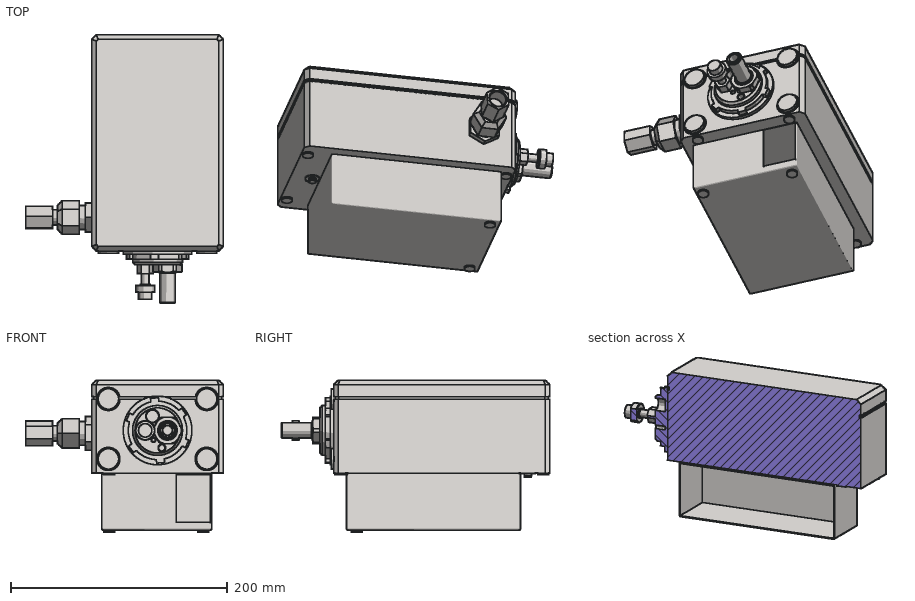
import cadquery as cq
import math


HEX_SIDES = 6
CHAMFER_ANGLE = 45.0
OVERALL_WIDTH = 183.0

ENCLOSURE_WIDTH = 121.8
ENCLOSURE_LENGTH = 200.0
ENCLOSURE_HEIGHT = 86.0
ENCLOSURE_CHAMFER = 4.2
LID_SEAM_HEIGHT = 69.5
LID_SEAM_WIDTH = 2.5
LID_SEAM_DEPTH = 1.5

PLUG_RADIUS = 9.5
PLUG_THICKNESS = 2.2
PLUG_ROOT = 2.5
PLUG_SEAT_RADIUS = 10.7
PLUG_SEAT_DEPTH = 0.7
PLUG_X = 45.5
PLUG_HEIGHTS = (13.2, 68.5)

FOOT_RADIUS = 5.0
FOOT_THICKNESS = 1.5
ENCLOSURE_FOOT_X = 44.7
ENCLOSURE_FOOT_INSET = 6.2

KNOB_Y = 179.7
KNOB_WASHER_RADIUS = 6.7
KNOB_WASHER_THICKNESS = 0.7
KNOB_RADIUS = 3.5
KNOB_HEIGHT = 2.2
KNOB_TIP_RADIUS = 3.2
KNOB_TIP_HEIGHT = 3.7

BOX_WIDTH = 102.0
BOX_LENGTH = 161.0
BOX_HEIGHT = 53.0
BOX_CENTRE_X = -0.7
BOX_FRONT_Y = 12.0
BOX_CORNER_FILLET = 0.7
BOX_RIM_FILLET = 2.0
BOX_WALL = 1.5
BOX_FOOT_CENTRE_X = -1.2
BOX_FOOT_X = 43.5
BOX_FOOT_INSET = 9.5
WINDOW_WIDTH = 31.3
WINDOW_HEIGHT = 44.0

FITTING_Y = 31.0
FITTING_Z = 36.8
FITTING_HEX_FLATS = 27.0
SHOULDER_LENGTH = 6.0
SLEEVE_RADIUS = 11.2
SLEEVE_LENGTH = 5.5
NUT_LENGTH = 16.0
NUT_TURN = 30.0
NUT_TAPER_LENGTH = 4.5
NUT_TIP_FLATS = 19.0
STEM_RADIUS = 7.2
STEM_LENGTH = 4.2
SOCKET_END = OVERALL_WIDTH - ENCLOSURE_WIDTH
SOCKET_FLATS = 20.1
SOCKET_TURN = 4.5
SOCKET_BORE_RADIUS = 7.7
SOCKET_BORE_DEPTH = 15.0
SOCKET_BORE_CHAMFER = 0.7

CONNECTOR_Z = 39.5
FLANGE_RADIUS = 31.8
FLANGE_THICKNESS = 3.0
RING_RADIUS = 27.0
RING_THICKNESS = 4.5
TAB_COUNT = 6
TAB_RADIUS = 30.0
TAB_WIDTH = 7.5
FIRST_TAB_ANGLE = 35.5
HUB_RADIUS = 23.0
HUB_THICKNESS = 5.2
HUB_CHAMFER = 2.2
HUB_FACE = FLANGE_THICKNESS + RING_THICKNESS + HUB_THICKNESS
HUB_HOLES = ((-4.7, 13.2, 5.7), (4.0, -16.2, 3.0), (-3.7, -8.7, 1.7))
HUB_HOLE_DEPTH = 10.0
HUB_HOLE_CHAMFER = 0.5

POST_X = -11.5
POST_HEX_FLATS = 13.0
POST_HEX_LENGTH = 8.2
POST_STEM_RADIUS = 3.7
POST_STEM_LENGTH = 9.7
POST_WASHER_RADIUS = 4.7
POST_WASHER_LENGTH = 1.0
POST_COLLAR_RADIUS = 9.0
POST_COLLAR_LENGTH = 6.5
POST_COLLAR_CHAMFER = 0.5
POST_TIP_RADIUS = 6.2
POST_TIP_LENGTH = 6.7

PIPE_X = 9.2
PIPE_HEX_FLATS = 24.5
PIPE_HEX_LENGTH = 6.7
PIPE_HEX_CORNER_RADIUS = 13.5
PIPE_HEX_CHAMFER = 0.7
PIPE_WASHER_RADIUS = 9.0
PIPE_WASHER_THICKNESS = 0.2
PIPE_CONE_RADIUS = 8.0
PIPE_RADIUS = 7.2
PIPE_REACH = 48.5
PIPE_CHAMFER = 1.0
PIPE_BORE_RADIUS = 4.5
PIPE_BORE_DEPTH = 15.0


def corner_diameter(flats):
    """Across-corners size of a hexagon with the given across-flats size."""
    return flats / math.cos(math.pi / HEX_SIDES)


def front_plane(x, z, distance):
    """Plane facing -Y, at the given distance in front of the enclosure."""
    return cq.Workplane(cq.Plane(origin=(x, -distance, z), xDir=(1, 0, 0), normal=(0, -1, 0)))


def side_plane(distance):
    """Plane facing -X on the fitting axis, at the given distance from the enclosure; local x is +Z."""
    origin = (-ENCLOSURE_WIDTH / 2 - distance, FITTING_Y, FITTING_Z)
    return cq.Workplane(cq.Plane(origin=origin, xDir=(0, 0, 1), normal=(-1, 0, 0)))


def feet(positions, top):
    """Discs hanging down from the given height."""
    base = cq.Workplane(origin=(0, 0, top))
    return base.pushPoints(positions).circle(FOOT_RADIUS).extrude(-FOOT_THICKNESS)


def chamfered_block(width, length, height, edge_chamfer):
    """Block standing on z = 0 with its front at y = 0 and its vertical edges chamfered."""
    block = cq.Workplane().box(width, length, height, centered=(True, False, False))
    return block.edges("|Z").chamfer(edge_chamfer)


def make_enclosure():
    """Block with a lid seam around it, front plugs, feet and a knob underneath."""
    body = chamfered_block(ENCLOSURE_WIDTH, ENCLOSURE_LENGTH, ENCLOSURE_HEIGHT, ENCLOSURE_CHAMFER)
    body = body.faces(">Z").edges().chamfer(ENCLOSURE_CHAMFER)

    outline = chamfered_block(ENCLOSURE_WIDTH, ENCLOSURE_LENGTH, LID_SEAM_WIDTH, ENCLOSURE_CHAMFER)
    rim = outline.faces("<Z").wires().toPending().offset2D(-LID_SEAM_DEPTH)
    core = rim.extrude(LID_SEAM_WIDTH, combine=False)
    seam = outline.cut(core).translate((0, 0, LID_SEAM_HEIGHT - LID_SEAM_WIDTH / 2))
    body = body.cut(seam)

    plug_places = [(x, z) for x in (-PLUG_X, PLUG_X) for z in PLUG_HEIGHTS]
    seats = front_plane(0, 0, 0).pushPoints(plug_places).circle(PLUG_SEAT_RADIUS).extrude(-PLUG_SEAT_DEPTH)
    plug_base = front_plane(0, 0, -PLUG_ROOT).pushPoints(plug_places)
    plugs = plug_base.circle(PLUG_RADIUS).extrude(PLUG_ROOT + PLUG_THICKNESS)
    body = body.cut(seats).union(plugs)

    foot_rows = (ENCLOSURE_FOOT_INSET, ENCLOSURE_LENGTH - ENCLOSURE_FOOT_INSET)
    foot_places = [(x, y) for x in (-ENCLOSURE_FOOT_X, ENCLOSURE_FOOT_X) for y in foot_rows]
    body = body.union(feet(foot_places, 0))

    knob_base = cq.Workplane().center(0, KNOB_Y)
    body = body.union(knob_base.circle(KNOB_WASHER_RADIUS).extrude(-KNOB_WASHER_THICKNESS))
    body = body.union(knob_base.circle(KNOB_RADIUS).extrude(-KNOB_HEIGHT))
    return body.union(knob_base.circle(KNOB_TIP_RADIUS).extrude(-KNOB_TIP_HEIGHT))


def make_lower_box():
    """Closed sheet-metal box with a window in its front wall."""
    box_centre = (BOX_CENTRE_X, BOX_FRONT_Y + BOX_LENGTH / 2, -BOX_HEIGHT / 2)
    body = cq.Workplane().box(BOX_WIDTH, BOX_LENGTH, BOX_HEIGHT)
    body = body.edges("|Z").fillet(BOX_CORNER_FILLET)
    body = body.faces("<Z or >Z").edges().fillet(BOX_RIM_FILLET)
    walls = 2 * BOX_WALL
    cavity = cq.Workplane().box(BOX_WIDTH - walls, BOX_LENGTH - walls, BOX_HEIGHT - walls)
    body = body.cut(cavity).translate(box_centre)

    window_right = BOX_CENTRE_X + BOX_WIDTH / 2 - BOX_WALL
    window = cq.Workplane().box(WINDOW_WIDTH, BOX_WALL, WINDOW_HEIGHT, centered=False)
    body = body.cut(window.translate((window_right - WINDOW_WIDTH, BOX_FRONT_Y, -BOX_WALL - WINDOW_HEIGHT)))

    foot_y = BOX_FRONT_Y + BOX_FOOT_INSET
    foot_places = [(BOX_FOOT_CENTRE_X + side * BOX_FOOT_X, foot_y) for side in (-1, 1)]
    return body.union(feet(foot_places, -BOX_HEIGHT))


def make_side_fitting():
    """Hexagonal compression fitting ending in a bored hexagonal socket."""
    reach = 0
    body = side_plane(reach).polygon(HEX_SIDES, corner_diameter(FITTING_HEX_FLATS)).extrude(SHOULDER_LENGTH)
    reach += SHOULDER_LENGTH
    body = body.union(side_plane(reach).circle(SLEEVE_RADIUS).extrude(SLEEVE_LENGTH))
    reach += SLEEVE_LENGTH

    nut_base = side_plane(reach).transformed(rotate=(0, 0, NUT_TURN))
    body = body.union(nut_base.polygon(HEX_SIDES, corner_diameter(FITTING_HEX_FLATS)).extrude(NUT_LENGTH))
    reach += NUT_LENGTH
    taper = (
        side_plane(reach)
        .transformed(rotate=(0, 0, NUT_TURN))
        .polygon(HEX_SIDES, corner_diameter(FITTING_HEX_FLATS))
        .workplane(offset=NUT_TAPER_LENGTH)
        .polygon(HEX_SIDES, corner_diameter(NUT_TIP_FLATS))
        .loft(ruled=True)
    )
    body = body.union(taper)
    reach += NUT_TAPER_LENGTH
    body = body.union(side_plane(reach).circle(STEM_RADIUS).extrude(STEM_LENGTH))
    reach += STEM_LENGTH

    socket_length = SOCKET_END - reach
    socket_base = side_plane(reach).transformed(rotate=(0, 0, SOCKET_TURN))
    body = body.union(socket_base.polygon(HEX_SIDES, corner_diameter(SOCKET_FLATS)).extrude(socket_length))
    bore = side_plane(SOCKET_END).circle(SOCKET_BORE_RADIUS).extrude(-SOCKET_BORE_DEPTH)
    body = body.cut(bore)
    mouth_radius = SOCKET_BORE_RADIUS + SOCKET_BORE_CHAMFER
    mouth = side_plane(SOCKET_END).circle(mouth_radius).extrude(-SOCKET_BORE_CHAMFER, taper=CHAMFER_ANGLE)
    return body.cut(mouth)


def make_flange_and_hub():
    """Round flange, tabbed ring and chamfered hub with blind holes."""
    body = front_plane(0, CONNECTOR_Z, 0).circle(FLANGE_RADIUS).extrude(FLANGE_THICKNESS)
    ring_base = front_plane(0, CONNECTOR_Z, FLANGE_THICKNESS)
    ring = ring_base.circle(RING_RADIUS).extrude(RING_THICKNESS)
    for index in range(TAB_COUNT):
        turn = FIRST_TAB_ANGLE + index * 360 / TAB_COUNT
        tab = (
            ring_base.transformed(rotate=(0, 0, turn))
            .center(TAB_RADIUS / 2, 0)
            .rect(TAB_RADIUS, TAB_WIDTH)
            .extrude(RING_THICKNESS)
        )
        ring = ring.union(tab)
    body = body.union(ring)
    hub_base = front_plane(0, CONNECTOR_Z, FLANGE_THICKNESS + RING_THICKNESS)
    hub = hub_base.circle(HUB_RADIUS).extrude(HUB_THICKNESS)
    body = body.union(hub.faces("<Y").edges().chamfer(HUB_CHAMFER))
    for x, z, radius in HUB_HOLES:
        mouth = front_plane(x, CONNECTOR_Z + z, HUB_FACE)
        body = body.cut(mouth.circle(radius).extrude(-HUB_HOLE_DEPTH))
        body = body.cut(mouth.circle(radius + HUB_HOLE_CHAMFER).extrude(-HUB_HOLE_CHAMFER, taper=CHAMFER_ANGLE))
    return body


def make_post():
    """Stepped round post on a small hexagon."""
    reach = HUB_FACE
    hex_base = front_plane(POST_X, CONNECTOR_Z, reach)
    post = hex_base.polygon(HEX_SIDES, corner_diameter(POST_HEX_FLATS)).extrude(POST_HEX_LENGTH)
    reach += POST_HEX_LENGTH
    steps = (
        (POST_STEM_RADIUS, POST_STEM_LENGTH, 0),
        (POST_WASHER_RADIUS, POST_WASHER_LENGTH, 0),
        (POST_COLLAR_RADIUS, POST_COLLAR_LENGTH, POST_COLLAR_CHAMFER),
        (POST_TIP_RADIUS, POST_TIP_LENGTH, 0),
    )
    for radius, length, chamfer in steps:
        disc = front_plane(POST_X, CONNECTOR_Z, reach).circle(radius).extrude(length)
        if chamfer:
            disc = disc.faces(">Y").edges().chamfer(chamfer)
        post = post.union(disc)
        reach += length
    return post


def make_pipe():
    """Bored pipe on a hexagonal nut with rounded corners."""
    base = front_plane(PIPE_X, CONNECTOR_Z, HUB_FACE)
    nut = base.polygon(HEX_SIDES, corner_diameter(PIPE_HEX_FLATS)).extrude(PIPE_HEX_LENGTH)
    blank = base.circle(PIPE_HEX_CORNER_RADIUS).extrude(PIPE_HEX_LENGTH)
    nut = nut.intersect(blank.faces("<Y").edges().chamfer(PIPE_HEX_CHAMFER))
    nut_face = HUB_FACE + PIPE_HEX_LENGTH
    nut_top = front_plane(PIPE_X, CONNECTOR_Z, nut_face)
    washer = nut_top.circle(PIPE_WASHER_RADIUS).extrude(PIPE_WASHER_THICKNESS)
    cone_base = front_plane(PIPE_X, CONNECTOR_Z, nut_face + PIPE_WASHER_THICKNESS)
    cone = cone_base.circle(PIPE_CONE_RADIUS).extrude(PIPE_CONE_RADIUS - PIPE_RADIUS, taper=CHAMFER_ANGLE)
    tube = nut_top.circle(PIPE_RADIUS).extrude(PIPE_REACH - nut_face)
    tube = tube.faces("<Y").edges().chamfer(PIPE_CHAMFER)
    mouth = front_plane(PIPE_X, CONNECTOR_Z, PIPE_REACH)
    bore = mouth.circle(PIPE_BORE_RADIUS).extrude(-PIPE_BORE_DEPTH)
    return nut.union(washer).union(cone).union(tube).cut(bore)


def make_connector():
    """The flange, hub, post and pipe as one solid."""
    return make_flange_and_hub().union(make_post()).union(make_pipe())


enclosure = make_enclosure()
lower_box = make_lower_box()
side_fitting = make_side_fitting()
connector = make_connector()

result = cq.Compound.makeCompound(
    [enclosure.val(), lower_box.val(), side_fitting.val(), connector.val()]
)